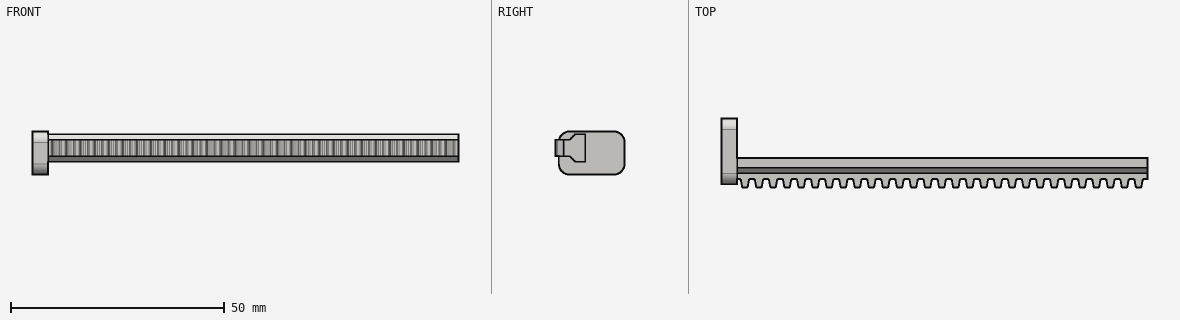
import cadquery as cq

total_length = 100.0
plate_thickness = 3.7
plate_width = 15.5
plate_height = 10.2
plate_corner_radius = 2.6

bar_mid_height = 1.2
bar_height = 6.5
bar_chamfer = 1.3
bar_back = 6.2
chamfer_back = 3.9

root_line = 1.2
tooth_depth = 2.0
tooth_pitch = 3.3
tooth_count = 29
first_tooth = 5.5
root_width = 2.0
tip_width = 1.3
tip_radius = 0.5
root_radius = 0.3

chamfer_front = chamfer_back - bar_chamfer
tooth_face_height = bar_height - 2 * bar_chamfer


def end_plate():
    return (
        cq.Workplane("YZ")
        .center(plate_width / 2, 0)
        .rect(plate_width, plate_height)
        .extrude(plate_thickness)
        .edges("|X")
        .fillet(plate_corner_radius)
    )


def rack_bar():
    half_bar = bar_height / 2
    half_face = tooth_face_height / 2
    profile = [
        (bar_back, half_bar),
        (chamfer_back, half_bar),
        (chamfer_front, half_face),
        (root_line, half_face),
        (root_line, -half_face),
        (chamfer_front, -half_face),
        (chamfer_back, -half_bar),
        (bar_back, -half_bar),
    ]
    return (
        cq.Workplane("YZ")
        .center(0, bar_mid_height)
        .polyline(profile)
        .close()
        .extrude(total_length)
    )


def rack_teeth():
    tip_line = root_line - tooth_depth
    overlap_line = chamfer_front
    outline = [
        (-root_width / 2, overlap_line),
        (-root_width / 2, root_line),
        (-tip_width / 2, tip_line),
        (tip_width / 2, tip_line),
        (root_width / 2, root_line),
        (root_width / 2, overlap_line),
    ]
    tooth = (
        cq.Workplane("XY", origin=(0, 0, bar_mid_height - tooth_face_height / 2))
        .polyline(outline)
        .close()
        .extrude(tooth_face_height)
        .faces("<Y")
        .edges("|Z")
        .fillet(tip_radius)
    )
    teeth = cq.Workplane("XY")
    for index in range(tooth_count):
        teeth = teeth.add(tooth.translate((first_tooth + index * tooth_pitch, 0, 0)))
    return teeth.combine()


def rack():
    margin = 0.1
    tooth_roots = cq.selectors.BoxSelector(
        (plate_thickness, root_line - margin, bar_mid_height - bar_height),
        (total_length - margin, root_line + margin, bar_mid_height + bar_height),
    )
    return rack_bar().union(rack_teeth()).edges("|Z").edges(tooth_roots).fillet(root_radius)


result = end_plate().union(rack())